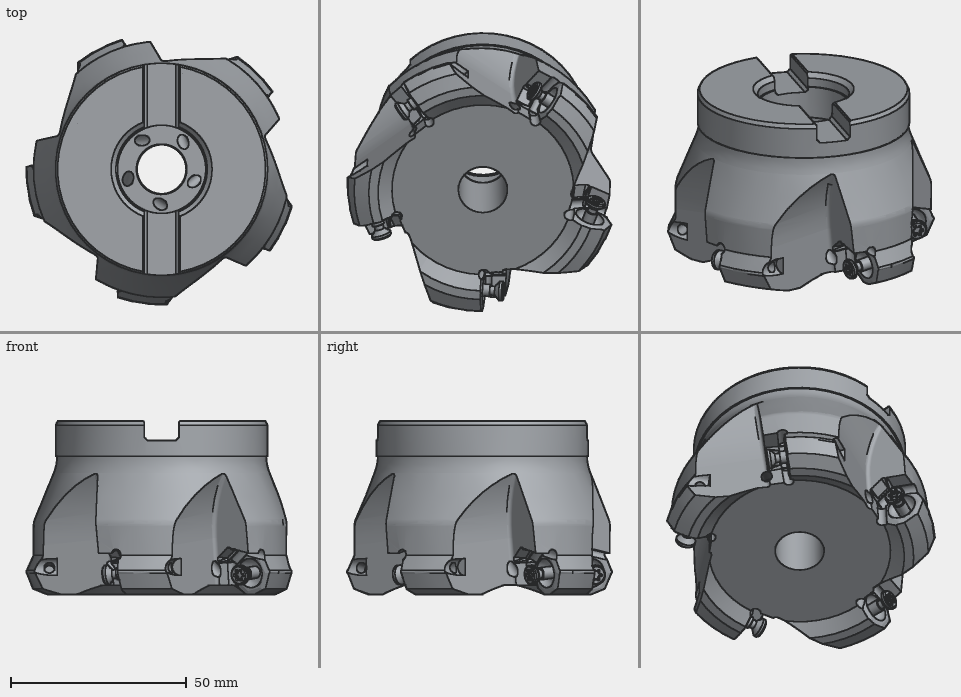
import cadquery as cq
import math

TOOTH_COUNT = 5
PITCH_ANGLE = 360 / TOOTH_COUNT
FIRST_FLUTE_ANGLE = -36.6

HEIGHT = 49.5
FACE_RADIUS = 32.45
HEEL_RADIUS, HEEL_Z = 36.6, 1.7
NOSE_RADIUS = 38.6
NOSE_EDGE_RADIUS = 38.35
NOSE_LOW_Z, NOSE_HIGH_Z = 6.05, 6.95
RIM_RADIUS, RIM_Z = 36.6, 10.8
BODY_RADIUS, BODY_LOW_Z, BODY_HIGH_Z = 36.5, 11.3, 19.6
FLANK_ANGLE = 22.0
SHOULDER_BLEND = 4.6
NECK_BLEND = 13.1
NECK_LOW_Z, NECK_HIGH_Z = 34.6, 39.4
COLLAR_RADIUS = 30.2
COLLAR_EDGE_DEPTH, COLLAR_EDGE_HEIGHT = 0.6, 1.2

BORE_RADIUS, LEDGE_Z = 12.55, 26.5
BORE_ENTRY_RADIUS, BORE_ENTRY_DEPTH = 13.0, 3.9
BORE_CHAMFER_RADIUS, BORE_CHAMFER_DEPTH = 14.4, 1.35
BORE_RELIEF_RADIUS, BORE_RELIEF_DEPTH = 13.0, 13.2
BOLT_HOLE_RADIUS, BOLT_HOLE_CHAMFER = 6.95, 0.2
SLOT_WIDTH, SLOT_DEPTH = 9.8, 5.6
SLOT_ROOT_CHAMFER, SLOT_EDGE_CHAMFER = 0.9, 0.4
RECESS_MOUTH_RADIUS, RECESS_RADIUS, RECESS_DEPTH = 29.8, 25.9, 2.7

FLUTE_TILT = 6.0
FLUTE_FLOOR = 24.1
FLUTE_WALL = 5.6
FLUTE_ARC_START = 16.8
FLUTE_ARC_RADIUS = 37.1
FLUTE_ARC_SWEEP = 40.0
FLUTE_CORNER = 1.1
FLUTE_REACH = 52.95

SEAT_CENTRE = (31.9, -0.7, 6.1)
SEAT_RADIAL_TILT = 0.5
INSERT_SIDES = 7
SEAT_APOTHEM = 4.8
POCKET_FOOT_APOTHEM, POCKET_APOTHEM = 6.5, 7.1
POCKET_DEPTH = 6.8
POCKET_REACH = 13.6
SEAT_BEVEL_WIDTH, SEAT_BEVEL_DEPTH = 1.5, 0.45
SEAT_SINK_RADIUS = 4.15
RELIEF_WIDTH, RELIEF_DISTANCE, RELIEF_FLOOR = 4.2, 7.5, 1.9
RELIEF_DRAFT = 12.0
GROOVE_RADIUS, GROOVE_DISTANCE, GROOVE_HEIGHT = 1.4, 6.1, 0.2
GROOVE_OVERRUN = 0.75

BACK_RECESS_RADIUS, BACK_RECESS_END = 2.4, 29.5
BACK_RECESS_OFFSET, BACK_RECESS_Z = 15.6, 7.9

COOLANT_RADIUS = 1.5
COOLANT_INLET = (5.6, -8.2, LEDGE_Z)
COOLANT_OUTLET = (FLUTE_FLOOR, -7.0, 7.5)
COOLANT_OVERRUN = 2.3

SCREW_RADIUS, SCREW_TIP = 1.75, -6.05
SCREW_OUTLET_RADIUS, SCREW_OUTLET_LENGTH = 1.5, 15.1
SCREW_NECK_RADIUS, SCREW_NECK_LOW, SCREW_NECK_HIGH = 1.3, 1.8, 3.2
HEAD_RADIUS, HEAD_FACE_RADIUS = 2.8, 2.4
HEAD_LOW, HEAD_HIGH, HEAD_TOP = 4.55, 5.3, 5.7
SOCKET_RADIUS, SOCKET_LOBE_RADIUS, SOCKET_LOBE_CIRCLE = 1.1, 0.4, 1.35
SOCKET_LOBES, SOCKET_DEPTH = 6, 1.1


def tilted_plane(origin, axial_tilt, radial_tilt=0.0):
    """Plane facing -Y, leaning down by axial_tilt and outwards by radial_tilt; local y is up."""
    axial = math.radians(axial_tilt)
    radial = math.radians(radial_tilt)
    across = (math.cos(radial), math.sin(radial), 0)
    normal = (
        math.sin(radial) * math.cos(axial),
        -math.cos(radial) * math.cos(axial),
        -math.sin(axial),
    )
    return cq.Plane(origin, across, normal)


WALL_PLANE = tilted_plane((0, 0, 0), FLUTE_TILT)
SEAT_PLANE = tilted_plane(SEAT_CENTRE, FLUTE_TILT, SEAT_RADIAL_TILT)


def at_tooth(shape, index):
    """Turn a shape of the described tooth to the given tooth position."""
    return shape.rotate((0, 0, 0), (0, 0, 1), FIRST_FLUTE_ANGLE + index * PITCH_ANGLE)


def on_seat(height=0.0):
    return cq.Workplane(SEAT_PLANE).workplane(offset=height)


def turned_blank():
    flank = math.radians(FLANK_ANGLE)
    shoulder_radius = BODY_RADIUS - SHOULDER_BLEND * (1 - math.cos(flank))
    shoulder_z = BODY_HIGH_Z + SHOULDER_BLEND * math.sin(flank)
    cone_top_radius = shoulder_radius - (NECK_LOW_Z - shoulder_z) * math.tan(flank)
    neck_radius = cone_top_radius - NECK_BLEND * (1 - math.cos(flank))
    return (
        cq.Workplane("XZ")
        .moveTo(0, 0)
        .lineTo(FACE_RADIUS, 0)
        .lineTo(HEEL_RADIUS, HEEL_Z)
        .lineTo(NOSE_EDGE_RADIUS, NOSE_LOW_Z)
        .threePointArc((NOSE_RADIUS, (NOSE_LOW_Z + NOSE_HIGH_Z) / 2), (NOSE_EDGE_RADIUS, NOSE_HIGH_Z))
        .lineTo(RIM_RADIUS, RIM_Z)
        .lineTo(BODY_RADIUS, BODY_LOW_Z)
        .lineTo(BODY_RADIUS, BODY_HIGH_Z)
        .tangentArcPoint((shoulder_radius, shoulder_z), relative=False)
        .lineTo(cone_top_radius, NECK_LOW_Z)
        .tangentArcPoint((neck_radius, NECK_HIGH_Z), relative=False)
        .lineTo(COLLAR_RADIUS, NECK_HIGH_Z)
        .lineTo(COLLAR_RADIUS, HEIGHT - COLLAR_EDGE_HEIGHT)
        .lineTo(COLLAR_RADIUS - COLLAR_EDGE_DEPTH, HEIGHT)
        .lineTo(0, HEIGHT)
        .close()
        .revolve(360, (0, 0, 0), (0, 1, 0))
    )


def bore():
    """Stepped bore, through bolt hole and the dished recess below, as one turned cutting shape."""
    return (
        cq.Workplane("XZ")
        .moveTo(0, 0)
        .lineTo(RECESS_MOUTH_RADIUS, 0)
        .lineTo(RECESS_RADIUS, RECESS_DEPTH)
        .lineTo(BOLT_HOLE_RADIUS, RECESS_DEPTH)
        .lineTo(BOLT_HOLE_RADIUS, LEDGE_Z - BOLT_HOLE_CHAMFER)
        .lineTo(BOLT_HOLE_RADIUS + BOLT_HOLE_CHAMFER, LEDGE_Z)
        .lineTo(BORE_RELIEF_RADIUS, LEDGE_Z)
        .lineTo(BORE_RELIEF_RADIUS, HEIGHT - BORE_RELIEF_DEPTH)
        .lineTo(BORE_RADIUS, HEIGHT - BORE_RELIEF_DEPTH)
        .lineTo(BORE_RADIUS, HEIGHT - BORE_ENTRY_DEPTH)
        .lineTo(BORE_ENTRY_RADIUS, HEIGHT - BORE_ENTRY_DEPTH)
        .lineTo(BORE_ENTRY_RADIUS, HEIGHT - BORE_CHAMFER_DEPTH)
        .lineTo(BORE_CHAMFER_RADIUS, HEIGHT)
        .lineTo(0, HEIGHT)
        .close()
        .revolve(360, (0, 0, 0), (0, 1, 0))
    )


def drive_slot():
    """Slot along Y across the top, with chamfered root corners and broken top edges."""
    half = SLOT_WIDTH / 2
    root_z = HEIGHT - SLOT_DEPTH
    right_side = [
        (half - SLOT_ROOT_CHAMFER, root_z),
        (half, root_z + SLOT_ROOT_CHAMFER),
        (half, HEIGHT - SLOT_EDGE_CHAMFER),
        (half + SLOT_EDGE_CHAMFER, HEIGHT),
    ]
    left_side = [(-x, z) for x, z in reversed(right_side)]
    return cq.Workplane("XZ").polyline(right_side + left_side).close().extrude(COLLAR_RADIUS, both=True)


def flute():
    sweep = math.radians(FLUTE_ARC_SWEEP)

    def arc_point(angle):
        return (
            FLUTE_FLOOR + FLUTE_ARC_RADIUS * (1 - math.cos(angle)),
            FLUTE_ARC_START + FLUTE_ARC_RADIUS * math.sin(angle),
        )

    run_out = arc_point(sweep)
    return (
        cq.Workplane(WALL_PLANE)
        .workplane(offset=FLUTE_WALL)
        .moveTo(FLUTE_FLOOR, -FLUTE_ARC_START)
        .lineTo(FLUTE_FLOOR, FLUTE_ARC_START)
        .threePointArc(arc_point(sweep / 2), run_out)
        .lineTo(FLUTE_REACH, run_out[1])
        .lineTo(FLUTE_REACH, -FLUTE_ARC_START)
        .close()
        .extrude(FLUTE_REACH)
        .edges(cq.selectors.NearestToPointSelector((0, 0, 0)))
        .fillet(FLUTE_CORNER)
    )


def insert_corner(apothem, corner):
    """Corner of the insert outline; corner 0 points outwards and they run anticlockwise."""
    half_side_angle = math.pi / INSERT_SIDES
    radius = apothem / math.cos(half_side_angle)
    angle = 2 * half_side_angle * corner
    return (radius * math.cos(angle), radius * math.sin(angle))


def pocket_outline(apothem):
    """Insert outline on the roof and inner sides, left open outwards and downwards."""
    roof_outer = insert_corner(apothem, 1)
    roof_inner = insert_corner(apothem, 2)
    inner_top = insert_corner(apothem, 3)
    roof_slope = (roof_outer[1] - roof_inner[1]) / (roof_outer[0] - roof_inner[0])
    roof_end_y = roof_outer[1] + (POCKET_REACH - roof_outer[0]) * roof_slope
    return [
        (POCKET_REACH, -POCKET_REACH),
        (POCKET_REACH, roof_end_y),
        roof_inner,
        inner_top,
        (inner_top[0], -POCKET_REACH),
    ]


def insert_pocket():
    return (
        on_seat()
        .polyline(pocket_outline(POCKET_FOOT_APOTHEM))
        .close()
        .workplane(offset=POCKET_DEPTH)
        .polyline(pocket_outline(POCKET_APOTHEM))
        .close()
        .loft(ruled=True)
    )


def seat_bevel():
    """Slope that falls away from the open sides of the seat."""
    def outline(apothem):
        return [insert_corner(apothem, corner) for corner in range(INSERT_SIDES)]

    kept = (
        on_seat()
        .polyline(outline(SEAT_APOTHEM))
        .close()
        .workplane(offset=-SEAT_BEVEL_DEPTH)
        .polyline(outline(SEAT_APOTHEM + SEAT_BEVEL_WIDTH))
        .close()
        .loft(ruled=True)
    )
    return on_seat().polyline(pocket_outline(SEAT_APOTHEM)).close().extrude(-SEAT_BEVEL_DEPTH).cut(kept)


def side_angle(side):
    """Direction that a side of the insert faces; the roof is side 1, the inner side is side 3."""
    return 360 / INSERT_SIDES * (side + 0.5)


def inner_relief():
    """Clearance beyond the upper inner side of the insert, widening away from the seat."""
    return (
        on_seat(RELIEF_FLOOR)
        .transformed(rotate=(0, 0, side_angle(2)))
        .center(RELIEF_DISTANCE / 2, 0)
        .rect(RELIEF_DISTANCE, RELIEF_WIDTH)
        .extrude(POCKET_DEPTH - RELIEF_FLOOR, taper=-RELIEF_DRAFT)
    )


def wall_groove(side, clockwise_length, anticlockwise_length):
    """Round groove along the foot of one pocket wall."""
    return (
        on_seat(GROOVE_HEIGHT)
        .transformed(rotate=(0, 0, side_angle(side)))
        .transformed(offset=(GROOVE_DISTANCE, -clockwise_length, 0), rotate=(-90, 0, 0))
        .circle(GROOVE_RADIUS)
        .extrude(clockwise_length + anticlockwise_length)
    )


def wall_grooves():
    """Grooves below the roof, the upper inner side and the inner side of the pocket."""
    to_corner = SEAT_APOTHEM * math.tan(math.pi / INSERT_SIDES) + GROOVE_OVERRUN
    return [
        wall_groove(1, POCKET_REACH, to_corner),
        wall_groove(2, to_corner, to_corner),
        wall_groove(3, to_corner, POCKET_REACH),
    ]


def seat_sink():
    """Bowl around the screw hole, its wall a quarter round."""
    depth = SEAT_SINK_RADIUS - SCREW_RADIUS
    bend = depth * math.sqrt(0.5)
    return cq.Workplane(
        cq.Workplane("XZ")
        .moveTo(0, 0)
        .lineTo(SEAT_SINK_RADIUS, 0)
        .threePointArc((SCREW_RADIUS + bend, -bend), (SCREW_RADIUS, -depth))
        .lineTo(0, -depth)
        .close()
        .revolve(360, (0, 0, 0), (0, 1, 0))
        .val()
        .moved(SEAT_PLANE.location)
    )


def screw_hole():
    """Hole that holds the screw, narrower on its way out through the back of the tooth."""
    threaded = on_seat().circle(SCREW_RADIUS).extrude(SCREW_TIP)
    return on_seat().circle(SCREW_OUTLET_RADIUS).extrude(-SCREW_OUTLET_LENGTH).union(threaded)


def back_recess():
    start = cq.Workplane("YZ", origin=(BACK_RECESS_END, BACK_RECESS_OFFSET, BACK_RECESS_Z))
    return start.circle(BACK_RECESS_RADIUS).extrude(FLUTE_REACH - BACK_RECESS_END)


def coolant_hole():
    inlet = cq.Vector(*COOLANT_INLET)
    direction = (cq.Vector(*COOLANT_OUTLET) - inlet).normalized()
    start = inlet - direction * COOLANT_OVERRUN
    length = (cq.Vector(*COOLANT_OUTLET) - start).Length + COOLANT_OVERRUN
    return cq.Workplane(cq.Solid.makeCylinder(COOLANT_RADIUS, length, start, direction))


def tooth_cuts():
    return [
        flute(),
        insert_pocket(),
        seat_bevel(),
        inner_relief(),
        *wall_grooves(),
        seat_sink(),
        screw_hole(),
        back_recess(),
        coolant_hole(),
    ]


def cutter_body():
    body = turned_blank().cut(bore()).cut(drive_slot())
    cuts = tooth_cuts()
    cutting_shapes = [at_tooth(cut, index).val() for index in range(TOOTH_COUNT) for cut in cuts]
    return cq.Workplane(body.val().cut(*cutting_shapes)).solids()


def clamping_screw():
    profile = [
        (0, SCREW_TIP),
        (SCREW_RADIUS, SCREW_TIP),
        (SCREW_RADIUS, SCREW_NECK_LOW),
        (SCREW_NECK_RADIUS, SCREW_NECK_LOW),
        (SCREW_NECK_RADIUS, SCREW_NECK_HIGH),
        (HEAD_RADIUS, HEAD_LOW),
        (HEAD_RADIUS, HEAD_HIGH),
        (HEAD_FACE_RADIUS, HEAD_TOP),
        (0, HEAD_TOP),
    ]
    screw = cq.Workplane("XZ").polyline(profile).close().revolve(360, (0, 0, 0), (0, 1, 0))
    top = cq.Workplane("XY").workplane(offset=HEAD_TOP)
    socket = top.circle(SOCKET_RADIUS).extrude(-SOCKET_DEPTH)
    lobes = (
        top.polarArray(SOCKET_LOBE_CIRCLE, 0, 360, SOCKET_LOBES)
        .circle(SOCKET_LOBE_RADIUS)
        .extrude(-SOCKET_DEPTH)
    )
    screw = screw.cut(socket).cut(lobes)
    return cq.Workplane(screw.val().moved(SEAT_PLANE.location))


cutter = cutter_body()
screw = clamping_screw()
screws = [at_tooth(screw, index) for index in range(TOOTH_COUNT)]
result = cq.Compound.makeCompound([cutter.val(), *(copy.val() for copy in screws)])